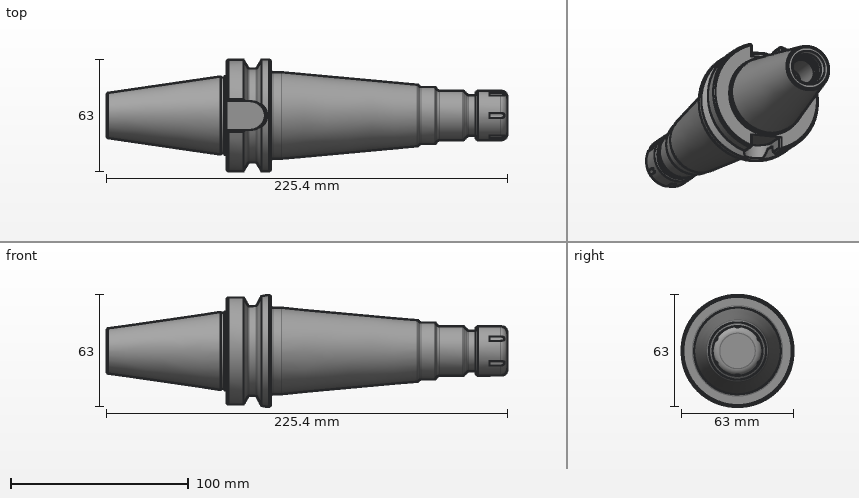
import cadquery as cq
import math


tail_x = -65.4
gauge_radius = 22.225
taper_slope = 7 / 48
taper_end_x = -1.5
tail_chamfer = 0.8

relief_depth = 0.5
relief_wall = 0.5
relief_end_x = 0.6

flange_front_x = 2.0
flange_back_x = 27.0
flange_radius = 31.5
flange_chamfer = 1.0
groove_x = 16.6
groove_radius = 26.5
groove_floor_half = 2.3
groove_wall_angle = 30
groove_fillet = 0.7

slot_width = 16.1
slot_floor = 22.8
slot_end_x = 23.6
slot_chamfer = 1.2

base_radius = 24.4
base_fillet = 1.0
cone_start_x = 33.0
cone_end_x = 109.1
cone_end_radius = 17.4
collar_radius = 16.1
collar_end_x = 118.9
nose_radius = 14.0
nose_end_x = 134.7
neck_radius = 11.5
gentle_step = (45, 1.0, 1.0)
steep_step = (60, 0.8, 2.2)

bore_mouth_radius = 9.8
counterbore_radius = 8.5
counterbore_depth = 6.0
bore_radius = 8.0
bore_depth = 9.0
bore_chamfer_angle = 30
thread_radius = 7.2
thread_end_depth = 32.0
drill_tip_angle = 60

nut_front_x = 142.1
nut_end_x = 160.0
nut_radius = 14.0
nut_chamfer = 1.2
nut_rounding = 4.0
wrench_slot_count = 6
wrench_slot_width = 3.0
wrench_slot_start_x = 149.9
wrench_slot_floor = 13.3


def revolve(profile):
    """Close an (x, radius) profile and turn it about the X axis."""
    return profile.close().revolve(360, (0, 0, 0), (1, 0, 0))


def arc_offset(fillet, turn):
    """Axial advance and radial drop along a fillet after turning through an angle in degrees."""
    turn = math.radians(turn)
    return fillet * math.sin(turn), fillet * (1 - math.cos(turn))


def blended_step(profile, start_x, start_radius, end_radius, shape):
    """Add a sloping step down in radius, rounded at its top and its foot."""
    angle, top_fillet, foot_fillet = shape
    top_half_run, top_half_drop = arc_offset(top_fillet, angle / 2)
    top_run, top_drop = arc_offset(top_fillet, angle)
    foot_half_run, foot_half_rise = arc_offset(foot_fillet, angle / 2)
    foot_run, foot_rise = arc_offset(foot_fillet, angle)
    slope_drop = start_radius - end_radius - top_drop - foot_rise
    slope_run = slope_drop / math.tan(math.radians(angle))
    end_x = start_x + top_run + slope_run + foot_run
    return (
        profile.lineTo(start_x, start_radius)
        .threePointArc(
            (start_x + top_half_run, start_radius - top_half_drop),
            (start_x + top_run, start_radius - top_drop),
        )
        .lineTo(end_x - foot_run, end_radius + foot_rise)
        .threePointArc((end_x - foot_half_run, end_radius + foot_half_rise), (end_x, end_radius))
    )


def taper_radius(x):
    return gauge_radius + taper_slope * x


def make_outside():
    tail_radius = taper_radius(tail_x)
    taper_end_radius = taper_radius(taper_end_x)
    relief_radius = taper_end_radius - relief_depth
    profile = (
        cq.Workplane("XY")
        .moveTo(tail_x, 0)
        .lineTo(tail_x, tail_radius - tail_chamfer)
        .lineTo(tail_x + tail_chamfer, taper_radius(tail_x + tail_chamfer))
        .lineTo(taper_end_x, taper_end_radius)
        .lineTo(taper_end_x + relief_wall, relief_radius)
        .lineTo(relief_end_x, relief_radius)
        .lineTo(relief_end_x + relief_wall, gauge_radius)
        .lineTo(flange_front_x, gauge_radius)
        .lineTo(flange_front_x, flange_radius - flange_chamfer)
        .lineTo(flange_front_x + flange_chamfer, flange_radius)
        .lineTo(flange_back_x - flange_chamfer, flange_radius)
        .lineTo(flange_back_x, flange_radius - flange_chamfer)
        .lineTo(flange_back_x, base_radius + base_fillet)
        .radiusArc((flange_back_x + base_fillet, base_radius), -base_fillet)
        .lineTo(cone_start_x, base_radius)
    )
    profile = blended_step(profile, cone_end_x, cone_end_radius, collar_radius, gentle_step)
    profile = blended_step(profile, collar_end_x, collar_radius, nose_radius, steep_step)
    profile = blended_step(profile, nose_end_x, nose_radius, neck_radius, gentle_step)
    return revolve(profile.lineTo(nut_front_x, neck_radius).lineTo(nut_front_x, 0))


def make_v_groove():
    depth = flange_radius - groove_radius
    mouth_half = groove_floor_half + depth * math.tan(math.radians(groove_wall_angle))
    ring = revolve(
        cq.Workplane("XY")
        .moveTo(groove_x - mouth_half, flange_radius)
        .lineTo(groove_x - groove_floor_half, groove_radius)
        .lineTo(groove_x + groove_floor_half, groove_radius)
        .lineTo(groove_x + mouth_half, flange_radius)
    )
    floor_edges = cq.selectors.RadiusNthSelector(0)
    return ring.edges(floor_edges).fillet(groove_fillet)


def make_drive_slot():
    """Cutter for the +Z drive slot: round-ended, with bevels along its front, side and end edges."""
    half_width = slot_width / 2
    bevel_half_width = half_width + slot_chamfer
    rim_z = math.sqrt(flange_radius**2 - bevel_half_width**2)
    arc_center_x = slot_end_x - half_width
    height = flange_radius - slot_floor
    slot = (
        cq.Workplane("XY", origin=(0, 0, slot_floor))
        .moveTo(flange_front_x, -half_width)
        .lineTo(arc_center_x, -half_width)
        .threePointArc((slot_end_x, 0), (arc_center_x, half_width))
        .lineTo(flange_front_x, half_width)
        .close()
        .extrude(height)
    )
    front_bevel = (
        cq.Workplane("XY", origin=(0, 0, slot_floor))
        .moveTo(flange_front_x, -bevel_half_width)
        .lineTo(flange_front_x + slot_chamfer, -half_width)
        .lineTo(flange_front_x + slot_chamfer, half_width)
        .lineTo(flange_front_x, bevel_half_width)
        .close()
        .extrude(height)
    )
    rim_bevel = (
        cq.Workplane("YZ", origin=(flange_front_x, 0, 0))
        .moveTo(-half_width, rim_z - slot_chamfer)
        .lineTo(-bevel_half_width, rim_z)
        .lineTo(-bevel_half_width, flange_radius)
        .lineTo(bevel_half_width, flange_radius)
        .lineTo(bevel_half_width, rim_z)
        .lineTo(half_width, rim_z - slot_chamfer)
        .close()
        .extrude(groove_x - flange_front_x)
    )
    end_bevel = cq.Workplane(
        cq.Solid.makeCone(
            half_width,
            half_width + slot_chamfer,
            slot_chamfer,
            pnt=cq.Vector(arc_center_x, 0, flange_radius - slot_chamfer),
        )
    )
    return slot.union(front_bevel).union(rim_bevel).union(end_bevel)


def make_bore():
    chamfer_tan = math.tan(math.radians(bore_chamfer_angle))
    mouth_depth = (bore_mouth_radius - counterbore_radius) / chamfer_tan
    seat_depth = (bore_radius - thread_radius) / chamfer_tan
    tip_depth = thread_radius / math.tan(math.radians(drill_tip_angle))
    return revolve(
        cq.Workplane("XY")
        .moveTo(tail_x, 0)
        .lineTo(tail_x, bore_mouth_radius)
        .lineTo(tail_x + mouth_depth, counterbore_radius)
        .lineTo(tail_x + counterbore_depth, counterbore_radius)
        .lineTo(tail_x + counterbore_depth, bore_radius)
        .lineTo(tail_x + bore_depth, bore_radius)
        .lineTo(tail_x + bore_depth + seat_depth, thread_radius)
        .lineTo(tail_x + thread_end_depth, thread_radius)
        .lineTo(tail_x + thread_end_depth + tip_depth, 0)
    )


def make_holder():
    holder = make_outside().cut(make_v_groove()).cut(make_bore())
    drive_slot = make_drive_slot()
    for angle in (0, 180):
        holder = holder.cut(drive_slot.rotate((0, 0, 0), (1, 0, 0), angle))
    return holder


def make_nut():
    """Clamping nut with shallow round-bottomed wrench slots that run out on its rounded end."""
    nut = revolve(
        cq.Workplane("XY")
        .moveTo(nut_front_x, 0)
        .lineTo(nut_front_x, nut_radius - nut_chamfer)
        .lineTo(nut_front_x + nut_chamfer, nut_radius)
        .lineTo(nut_end_x - nut_rounding, nut_radius)
        .radiusArc((nut_end_x, nut_radius - nut_rounding), nut_rounding)
        .lineTo(nut_end_x, 0)
    )
    depth = nut_radius - wrench_slot_floor
    slot_radius = ((wrench_slot_width / 2) ** 2 + depth**2) / (2 * depth)
    wrench_slot = (
        cq.Workplane("YZ", origin=(wrench_slot_start_x, 0, wrench_slot_floor + slot_radius))
        .circle(slot_radius)
        .extrude(nut_end_x - wrench_slot_start_x)
    )
    for index in range(wrench_slot_count):
        angle = index * 360 / wrench_slot_count
        nut = nut.cut(wrench_slot.rotate((0, 0, 0), (1, 0, 0), angle))
    return nut


holder = make_holder()
nut = make_nut()
result = cq.Compound.makeCompound([holder.val(), nut.val()])